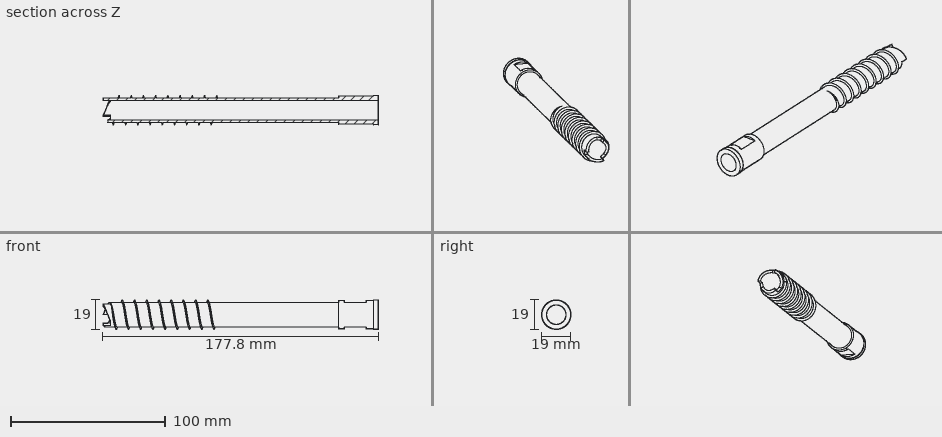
import cadquery as cq
import math

length = 177.8
tube_radius = 8.0
bore_radius = 6.2

collar_radius = 9.2
collar_length = 25.6
rim_radius = 9.51
rim_length = 3.2
flat_length = 14.0
flat_offset = 3.7
flat_height = tube_radius

thread_radius = rim_radius
thread_start = 4.5
thread_start_angle = 90
thread_length = 71.1
thread_turns = 9
thread_pitch = thread_length / thread_turns
thread_base = 1.2
root_overlap = 0.4
fade_turns = 0.25

tooth_count = 3
tooth_depth = 4.6
tooth_ramp_angle = 95.0
cutter_margin = 1.8

axial_frame = cq.Plane(origin=(0, 0, 0), xDir=(0, 1, 0), normal=(1, 0, 0))


def along_axis(shape, start, angle):
    """Turn a shape built on local z, shift it to start and lay it along X."""
    turned = shape.rotate(cq.Vector(0, 0, 0), cq.Vector(0, 0, 1), angle)
    return turned.moved(cq.Location(axial_frame)).translate(cq.Vector(start, 0, 0))


def cylinder(radius, start, end):
    """Round bar on the X axis from start to end."""
    return cq.Workplane("YZ").workplane(offset=start).circle(radius).extrude(end - start)


def make_shank():
    """Tube with its collar and the slightly larger end rim, still without the bore."""
    shank = cylinder(tube_radius, 0, length)
    shank = shank.union(cylinder(collar_radius, length - collar_length, length))
    return shank.union(cylinder(rim_radius, length - rim_length, length))


def cut_flats(body):
    """Wrench flats on the top and bottom of the collar."""
    flat_start = length - collar_length + flat_offset
    cutter_height = 2 * (collar_radius - flat_height)
    for side in (1, -1):
        cutter = cq.Workplane("XY").box(flat_length, 2 * rim_radius, cutter_height)
        center_z = side * (flat_height + cutter_height / 2)
        body = body.cut(cutter.translate((flat_start + flat_length / 2, 0, center_z)))
    return body


def ridge(turns, crest_start, crest_end):
    """Triangular thread ridge, its crest radius going evenly from start to end."""
    height = turns * thread_pitch
    if crest_start == crest_end:
        path = cq.Wire.makeHelix(thread_pitch, height, crest_start)
    else:
        taper = math.atan2(crest_end - crest_start, height)
        slope_factor = 1 / math.cos(taper)
        path = cq.Wire.makeHelix(
            thread_pitch * slope_factor,
            height * slope_factor,
            crest_start,
            angle=math.degrees(taper),
        )
    root = crest_start - (thread_radius - tube_radius) - root_overlap
    profile = cq.Workplane("XZ").polyline(
        [(root, -thread_base / 2), (crest_start, 0), (root, thread_base / 2)]
    ).close()
    return profile.sweep(cq.Workplane(path), isFrenet=True).val()


def add_thread(body):
    """Thread of three ridges: one rising out of the tube, one of full height, one sinking back."""
    full_turns = thread_turns - 2 * fade_turns
    sunk_radius = tube_radius - root_overlap / 2
    turns_done = 0
    for turns, crest_start, crest_end in (
        (fade_turns, sunk_radius, thread_radius),
        (full_turns, thread_radius, thread_radius),
        (fade_turns, thread_radius, sunk_radius),
    ):
        section = ridge(turns, crest_start, crest_end)
        section_start = thread_start + turns_done * thread_pitch
        section_angle = thread_start_angle + 360 * turns_done
        body = body.union(along_axis(section, section_start, section_angle))
        turns_done += turns
    return body


def tooth_gap():
    """Helical ramp down from a tooth tip, then a level floor up to the next tooth."""
    inner = bore_radius - cutter_margin
    outer = thread_radius + cutter_margin
    cutter_length = tooth_depth + cutter_margin
    ramp_pitch = tooth_depth * 360 / tooth_ramp_angle
    path = cq.Wire.makeHelix(ramp_pitch, tooth_depth, tube_radius)
    blade = cq.Workplane("XZ").moveTo(inner, -cutter_length).lineTo(outer, -cutter_length)
    blade = blade.lineTo(outer, 0).lineTo(inner, 0).close()
    ramp = blade.sweep(cq.Workplane(path), isFrenet=True).val()

    floor_angle = 360 / tooth_count - tooth_ramp_angle
    floor = cq.Workplane("XZ").moveTo(inner, -cutter_margin).lineTo(outer, -cutter_margin)
    floor = floor.lineTo(outer, tooth_depth).lineTo(inner, tooth_depth).close()
    floor = floor.revolve(floor_angle, (0, 0), (0, 1)).val()
    return ramp, floor


def cut_teeth(body):
    """Saw teeth around the tip, one gap after each tooth."""
    ramp, floor = tooth_gap()
    for tooth in range(tooth_count):
        angle = tooth * 360 / tooth_count
        body = body.cut(cq.Workplane(along_axis(ramp, 0, angle)))
        body = body.cut(cq.Workplane(along_axis(floor, 0, angle + tooth_ramp_angle)))
    return body


result = cut_flats(make_shank())
result = add_thread(result)
result = result.cut(cylinder(bore_radius, 0, length))
result = cut_teeth(result).solids()